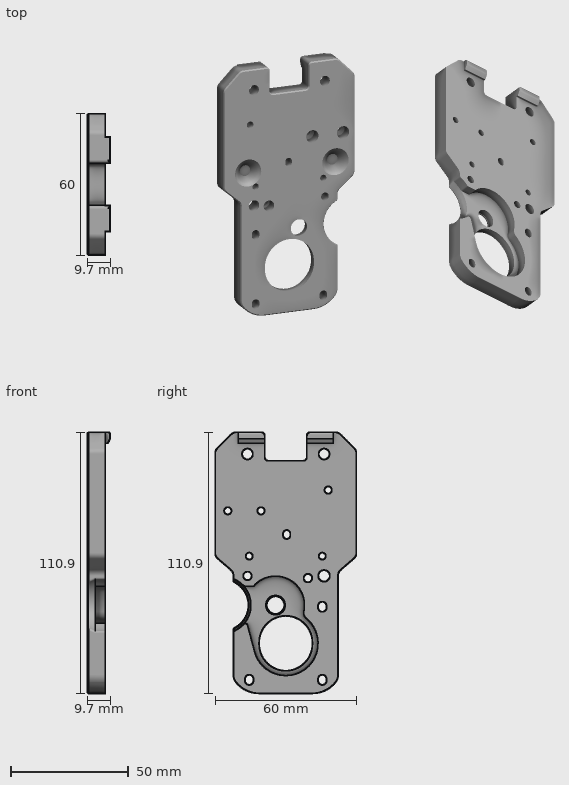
import cadquery as cq
import math


thickness = 7.7
height = 110.88
width = 60.0
lower_width = 44.5
bottom_z = -21.3
top_z = bottom_z + height
half_width = width / 2
half_lower = lower_width / 2
side_step = half_width - half_lower
shoulder_top_z = 36.9
shoulder_height = 6.7
bend_radius = 3.0
bottom_flat_half = 11.2
bottom_arc_end_z = -14.9
bottom_corner_radius = 5.0
edge_chamfer = 0.5

top_slot_width = 17.8
top_slot_depth = 12.1
top_slot_radius = 1.5
hook_reach = 2.0
hook_width = 11.2
hook_height = 4.8
hook_tip_height = 2.9
hook_root = 0.9
hook_radius = 1.0
hook_overlap = 1.0

notch_y = -26.75
gear_z = 16.2
notch_front_radius = 10.7
notch_back_radius = 12.0
notch_edge_radius = 1.0

pocket_floor_x = 3.4
idler_y = -4.35
idler_pocket_radius = 12.3
channel_half_height = 8.1
channel_tip_z = 9.6
motor_pocket_radius = 13.7
pocket_cusp_radius = 3.0
channel_tip_radius = 1.0

motor_hole_pitch = 31.0
motor_screw_diameter = 3.5
motor_bore_diameter = 22.5
guide_slot_width = 3.0
motor_travel = 0.7
idler_bore_diameter = 7.4
idler_seat_diameter = 8.2
idler_lip = 0.4

half_pitch = motor_hole_pitch / 2
mount_y = 16.25
top_mount_z = 80.3
lower_mount_z = 28.6
small_hole_z = 37.0
plain_holes = [
    (4.5, mount_y, top_mount_z),
    (4.5, -mount_y, top_mount_z),
    (4.8, mount_y, lower_mount_z),
    (3.5, -mount_y, lower_mount_z),
    (2.85, half_pitch, small_hole_z),
    (2.85, -half_pitch, small_hole_z),
    (3.0, 18.0, 65.0),
    (idler_bore_diameter, idler_y, gear_z),
]

stepped_holes = [
    (5.6, 3.0, -10.5, 56.2),
    (5.6, 3.0, -24.6, 56.2),
    (4.8, 3.5, 9.4, 27.65),
]
step_bore_depth = 5.0

short_slots = [
    (motor_screw_diameter, motor_travel, half_pitch, half_pitch),
    (motor_screw_diameter, motor_travel, half_pitch, -half_pitch),
    (motor_screw_diameter, motor_travel, -half_pitch, -half_pitch),
    (motor_bore_diameter, motor_travel, 0.0, 0.0),
    (guide_slot_width, motor_travel, 0.4, 46.15),
]

dimple_rim_diameter = 12.0
dimple_floor_diameter = 4.8
dimple_depth = (dimple_rim_diameter - dimple_floor_diameter) / 2
dimple_z = 43.55
dimple_ys = (18.9, -21.1)


def near(point_y, point_z):
    """Selector for the edge along X that passes through a point of the plate."""
    return cq.selectors.NearestToPointSelector((thickness / 2, point_y, point_z))


def cone(front_radius, back_radius, length, x, y, z):
    """Frustum along +X that starts at the given point."""
    return cq.Workplane(
        cq.Solid.makeCone(front_radius, back_radius, length, cq.Vector(x, y, z), cq.Vector(1, 0, 0))
    )


def cylinder(radius, x, y, z):
    """Cylinder along +X from the given point to the back face."""
    return cq.Workplane("YZ", origin=(x, y, z)).circle(radius).extrude(thickness - x)


def stepped_hole(bore, hole, y, z):
    """Wide bore from the front that narrows through a cone to a through hole."""
    wide = cq.Workplane("YZ", origin=(0, y, z)).circle(bore / 2).extrude(step_bore_depth)
    taper = cone(bore / 2, hole / 2, (bore - hole) / 2, step_bore_depth, y, z)
    return wide.union(taper).union(cylinder(hole / 2, 0, y, z))


def short_slot(slot_width, travel, y, z):
    """Through slot, elongated along Z."""
    sketch = cq.Workplane("YZ", origin=(0, y, z)).slot2D(slot_width + travel, slot_width, 90)
    return sketch.extrude(thickness)


def dimple(y):
    """Flat-floored cone sunk into the front face."""
    rim_radius = dimple_rim_diameter / 2
    return cone(rim_radius, dimple_floor_diameter / 2, dimple_depth, 0, y, dimple_z)


def bottom_arc_middle():
    """Middle point of the +Y bottom arc, which starts tangent to the flat bottom."""
    rise = bottom_arc_end_z - bottom_z
    run = half_lower - bottom_flat_half
    radius = math.hypot(run, rise) ** 2 / (2 * rise)
    half_sweep = math.atan(rise / run)
    y = bottom_flat_half + radius * math.sin(half_sweep)
    z = bottom_z + radius * (1 - math.cos(half_sweep))
    return y, z


def make_plate():
    """Plate with its outline corners rounded, before any cut."""
    half_slot = top_slot_width / 2
    slot_floor_z = top_z - top_slot_depth
    shoulder_bottom_z = shoulder_top_z - shoulder_height
    arc_y, arc_z = bottom_arc_middle()
    plate = (
        cq.Workplane("YZ")
        .moveTo(-bottom_flat_half, bottom_z)
        .lineTo(bottom_flat_half, bottom_z)
        .threePointArc((arc_y, arc_z), (half_lower, bottom_arc_end_z))
        .lineTo(half_lower, shoulder_bottom_z)
        .lineTo(half_width, shoulder_top_z)
        .lineTo(half_width, top_z - side_step)
        .lineTo(half_lower, top_z)
        .lineTo(half_slot, top_z)
        .lineTo(half_slot, slot_floor_z)
        .lineTo(-half_slot, slot_floor_z)
        .lineTo(-half_slot, top_z)
        .lineTo(-half_lower, top_z)
        .lineTo(-half_width, top_z - side_step)
        .lineTo(-half_width, shoulder_top_z)
        .lineTo(-half_lower, shoulder_bottom_z)
        .lineTo(-half_lower, bottom_arc_end_z)
        .threePointArc((-arc_y, arc_z), (-bottom_flat_half, bottom_z))
        .close()
        .extrude(thickness)
    )
    corners = [
        (bottom_corner_radius, half_lower, bottom_arc_end_z),
        (bend_radius, half_lower, shoulder_bottom_z),
        (bend_radius, half_width, shoulder_top_z),
        (bend_radius, half_width, top_z - side_step),
        (bend_radius, half_lower, top_z),
        (top_slot_radius, half_slot, slot_floor_z),
        (top_slot_radius, half_slot, top_z),
    ]
    for radius, y, z in corners:
        for side in (1, -1):
            plate = plate.edges("|X").edges(near(side * y, z)).fillet(radius)
    return plate


def make_hook(side):
    """Hook behind one horn, rounded like the horn on its inner top edge."""
    back = thickness + hook_reach
    hook = (
        cq.Workplane("XZ", origin=(0, side * top_slot_width / 2, 0))
        .moveTo(thickness - hook_overlap, top_z)
        .lineTo(back, top_z)
        .lineTo(back, top_z - hook_tip_height)
        .lineTo(thickness + hook_root, top_z - hook_height)
        .lineTo(thickness - hook_overlap, top_z - hook_height)
        .close()
        .extrude(-side * hook_width)
    )
    hook = hook.faces(">X").edges(">Z").fillet(hook_radius)
    inner_edge = "<Y" if side > 0 else ">Y"
    horn = (
        cq.Workplane("YZ")
        .center(side * (top_slot_width + hook_width) / 2, top_z - hook_height / 2)
        .rect(hook_width, hook_height)
        .extrude(back)
        .faces(">Z")
        .edges(inner_edge)
        .fillet(top_slot_radius)
    )
    return hook.intersect(horn)


def notch_cutter():
    """Cone that widens from the front face to the pocket floor, then a cylinder."""
    flare = cone(notch_front_radius, notch_back_radius, pocket_floor_x, 0, notch_y, gear_z)
    return flare.union(cylinder(notch_back_radius, pocket_floor_x, notch_y, gear_z))


def notch_rim_box():
    """Selector for the edges where the notch meets the narrow side of the plate."""
    slack = 0.5
    return cq.selectors.BoxSelector(
        (slack, -half_lower - slack, gear_z - notch_back_radius),
        (thickness - slack, -half_lower + slack, gear_z + notch_back_radius),
    )


def notch_wall_y(z):
    """Y of the inner wall of the notch, behind the flare, at a given height."""
    return notch_y + math.sqrt(notch_back_radius**2 - (z - gear_z) ** 2)


def pocket_cusp():
    """Point on the +Y side where the idler circle crosses the motor circle."""
    distance = math.hypot(idler_y, gear_z)
    along = (distance**2 + motor_pocket_radius**2 - idler_pocket_radius**2) / (2 * distance)
    across = math.sqrt(motor_pocket_radius**2 - along**2)
    y = (along * idler_y + across * gear_z) / distance
    z = (along * gear_z - across * idler_y) / distance
    return y, z


def pocket_cutter():
    """Idler circle, motor circle and the channel that joins both to the notch."""
    tip_y = notch_wall_y(channel_tip_z)
    tip_angle = math.atan2(channel_tip_z, tip_y)
    tangent_angle = tip_angle + math.acos(motor_pocket_radius / math.hypot(tip_y, channel_tip_z))
    tangent_y = motor_pocket_radius * math.cos(tangent_angle)
    tangent_z = motor_pocket_radius * math.sin(tangent_angle)
    channel = (
        cq.Workplane("YZ", origin=(pocket_floor_x, 0, 0))
        .moveTo(0, 0)
        .lineTo(tangent_y, tangent_z)
        .lineTo(tip_y, channel_tip_z)
        .lineTo(notch_y, gear_z)
        .lineTo(notch_y, gear_z + channel_half_height)
        .lineTo(idler_y, gear_z + channel_half_height)
        .close()
        .extrude(thickness - pocket_floor_x)
    )
    pocket = cylinder(motor_pocket_radius, pocket_floor_x, 0, 0)
    pocket = pocket.union(cylinder(idler_pocket_radius, pocket_floor_x, idler_y, gear_z))
    pocket = pocket.edges("|X").edges(near(*pocket_cusp())).fillet(pocket_cusp_radius)
    pocket = pocket.union(channel)
    pocket = pocket.union(cylinder(notch_back_radius, pocket_floor_x, notch_y, gear_z))
    for z in (channel_tip_z, gear_z + channel_half_height):
        pocket = pocket.edges("|X").edges(near(notch_wall_y(z), z)).fillet(channel_tip_radius)
    return pocket


result = make_plate().cut(notch_cutter())
result = result.edges(notch_rim_box()).fillet(notch_edge_radius)
result = result.faces("<X").chamfer(edge_chamfer)
for side in (1, -1):
    result = result.union(make_hook(side))
result = result.cut(pocket_cutter())
result = result.cut(cylinder(idler_seat_diameter / 2, idler_lip, idler_y, gear_z))
for diameter, y, z in plain_holes:
    result = result.cut(cylinder(diameter / 2, 0, y, z))
for bore, hole, y, z in stepped_holes:
    result = result.cut(stepped_hole(bore, hole, y, z))
for slot_width, travel, y, z in short_slots:
    result = result.cut(short_slot(slot_width, travel, y, z))
for y in dimple_ys:
    result = result.cut(dimple(y))